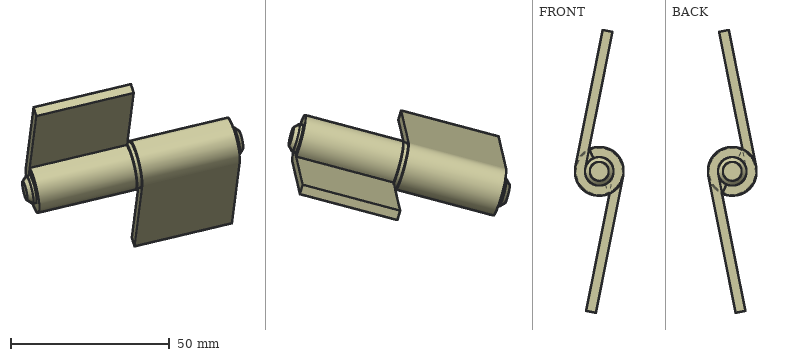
import cadquery as cq
import math

sheet_thickness = 3.2
bore_radius = 4.51
knuckle_radius = bore_radius + sheet_thickness
leaf_width = 32.1
total_height = 89.3
leaf_tilt = 11.3
roll_end_clearance = 0.3

pin_length = 71.0
end_chamfer = 1.5
collar_width = 1.8
collar_radius = 7.46
collar_chamfer = 0.2

tilt = math.radians(leaf_tilt)
flat_length = (total_height / 2 - knuckle_radius * math.sin(tilt)) / math.cos(tilt)


def polar(radius, angle):
    """Point in the hinge cross-section, with the angle in degrees from +X."""
    return radius * math.cos(math.radians(angle)), radius * math.sin(math.radians(angle))


def make_leaf():
    """Upper leaf at the -Y end: a flat tangent to a knuckle rolled around the pin."""
    tangent_angle = 180 - leaf_tilt
    closing_angle = math.degrees(math.acos(bore_radius / knuckle_radius))
    roll_end_angle = tangent_angle - closing_angle - roll_end_clearance
    roll_middle_angle = (tangent_angle - 360 + roll_end_angle) / 2

    outer_tangent = polar(knuckle_radius, tangent_angle)
    inner_tangent = polar(bore_radius, tangent_angle)
    run_x = flat_length * math.sin(tilt)
    run_z = flat_length * math.cos(tilt)

    profile = (
        cq.Workplane("XZ", origin=(0, -collar_width / 2, 0))
        .moveTo(*outer_tangent)
        .lineTo(outer_tangent[0] + run_x, outer_tangent[1] + run_z)
        .lineTo(inner_tangent[0] + run_x, inner_tangent[1] + run_z)
        .lineTo(*inner_tangent)
        .threePointArc(polar(bore_radius, roll_middle_angle), polar(bore_radius, roll_end_angle))
        .lineTo(*polar(knuckle_radius, roll_end_angle))
        .threePointArc(polar(knuckle_radius, roll_middle_angle), outer_tangent)
        .close()
    )
    return profile.extrude(leaf_width)


def make_chamfered_cylinder(radius, length, chamfer):
    """Cylinder along Y, centred on the origin, with both ends chamfered."""
    return (
        cq.Workplane("XZ", origin=(0, length / 2, 0))
        .circle(radius)
        .extrude(length)
        .faces("<Y or >Y")
        .chamfer(chamfer)
    )


def make_pin():
    """Pin along Y with chamfered ends and a collar that separates the leaves."""
    shaft = make_chamfered_cylinder(bore_radius, pin_length, end_chamfer)
    collar = make_chamfered_cylinder(collar_radius, collar_width, collar_chamfer)
    return shaft.union(collar)


leaf_pitch = leaf_width + collar_width
leaves = []
for index in range(2):
    leaf = make_leaf().rotate((0, 0, 0), (0, 1, 0), index * 180)
    leaves.append(leaf.translate((0, index * leaf_pitch, 0)))
pin = make_pin()

result = cq.Compound.makeCompound([*[leaf.val() for leaf in leaves], pin.val()])